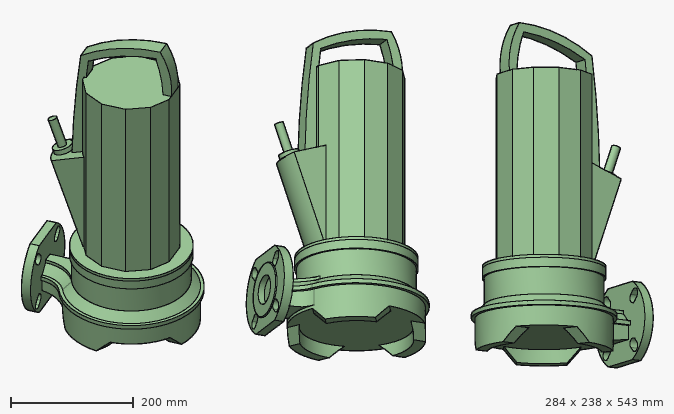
import cadquery as cq
import math


foot_bottom = 2.0
casing_bottom = 25.5
rim_bottom = 58.5
rim_top = 65.5
shoulder_top = 80.5
outlet_roof = 86.0
collar_bottom = 125.5
cover_bottom = 140.5
cover_top = 145.5
motor_top = 461.5

casing_radius = 226.0 / 2
rim_radius = 238.0 / 2
foot_inner_radius = 93.5
foot_count = 3
foot_half_width_bottom = 41.0
foot_half_width_top = 63.0

stage_radius = 196.0 / 2
collar_radius = 202.0 / 2

outlet_half_width = 24.5
outlet_floor_at_flange = 35.5
outlet_floor_at_casing = 31.0

flange_face_x = -163.5
flange_thickness = 16.5
flange_back_x = flange_face_x + flange_thickness
flange_diameter = 150.0
flange_height = 130.5
flange_center_z = flange_height / 2
raised_face_height = 1.5
raised_face_radius = 92.5 / 2
raised_face_taper = 45.0
bore_diameter = 48.5
bore_depth = 11.0
slot_count = 4
slot_width = 17.5
slot_inner_radius = 54.0
slot_outer_radius = 62.5

motor_sides = 12
motor_flat_radius = 77.5
motor_trim_x = 76.0

entry_tilt = 20.0
entry_width = 68.5
entry_top_inner_x = -70.0
entry_top_inner_z = 320.0
entry_flat_length = 61.0
entry_front_bulge = 10.5
gland_diameter = 35.0
gland_height = 8.5
gland_distance = 51.5
cable_diameter = 15.0
cable_reach = 60.0

handle_width = 28.0
handle_top_z = 543.0
handle_leg_bottom_z = 304.0
handle_leg_inner_x = -74.0
handle_outer_foot = (-99.0, handle_leg_bottom_z)
handle_outer_shoulder = (-83.5, 502.5)
handle_outer_peak = (56.5, handle_top_z)
handle_outer_end = (motor_trim_x, motor_top)
handle_inner_end = (61.5, motor_top)
handle_inner_peak = (48.5, 528.5)
handle_inner_shoulder = (-70.0, 494.5)
handle_leg_bulge = (-94.0, 407.0)
handle_outer_grip_bulge = (-16.5, 532.5)
handle_outer_end_bulge = (71.0, 510.5)
handle_inner_end_bulge = (57.5, 495.0)
handle_inner_grip_bulge = (-12.5, 518.0)


def cylinder(radius, bottom, top):
    return cq.Workplane("XY").workplane(offset=bottom).circle(radius).extrude(top - bottom)


roof_offset = stage_radius - casing_radius
rim_offset = rim_radius - casing_radius


def outlet_section(offset, z):
    """Nozzle outline at height z, grown sideways by offset.

    On the -Y side one arc leaves the flange square to it and runs tangent into the round casing.
    All offsets share the arc's center.
    """
    half_width = outlet_half_width + offset
    blend_x = flange_back_x
    base_radius = (blend_x**2 + outlet_half_width**2 - casing_radius**2) / (
        2 * (casing_radius - outlet_half_width)
    )
    blend_y = -(outlet_half_width + base_radius)
    blend_radius = base_radius - offset
    casing_angle = math.atan2(-blend_y, -blend_x)
    middle_angle = (casing_angle + math.pi / 2) / 2
    tangent_point = (
        blend_x + blend_radius * math.cos(casing_angle),
        blend_y + blend_radius * math.sin(casing_angle),
    )
    middle_point = (
        blend_x + blend_radius * math.cos(middle_angle),
        blend_y + blend_radius * math.sin(middle_angle),
    )
    return (
        cq.Workplane("XY", origin=(0, 0, z))
        .moveTo(flange_back_x, half_width)
        .lineTo(0, half_width)
        .lineTo(*tangent_point)
        .threePointArc(middle_point, (flange_back_x, -half_width))
        .close()
    )


def make_outlet_nozzle():
    lower = outlet_section(0, outlet_floor_at_casing).extrude(rim_top - outlet_floor_at_casing)
    sloped_floor = (
        cq.Workplane("XZ")
        .polyline([
            (flange_back_x, outlet_floor_at_casing),
            (flange_back_x, outlet_floor_at_flange),
            (-casing_radius, outlet_floor_at_casing),
        ])
        .close()
        .extrude(casing_radius, both=True)
    )
    rim = outlet_section(rim_offset, rim_bottom).extrude(rim_top - rim_bottom)
    shoulder = cq.Workplane(
        cq.Solid.makeLoft(
            [
                outlet_section(0, rim_top).wires().val(),
                outlet_section(roof_offset, shoulder_top).wires().val(),
            ],
            ruled=True,
        )
    )
    roof = outlet_section(roof_offset, shoulder_top).extrude(outlet_roof - shoulder_top)
    roof = roof.cut(cylinder(stage_radius, shoulder_top, outlet_roof))
    return lower.cut(sloped_floor).union(rim).union(shoulder).union(roof)


def make_outlet_flange():
    plane = cq.Plane(origin=(flange_back_x, 0, flange_center_z), xDir=(0, -1, 0), normal=(-1, 0, 0))
    disc = cq.Workplane(plane).circle(flange_diameter / 2).extrude(flange_thickness)
    trim = cq.Workplane(plane).rect(flange_diameter, flange_height).extrude(flange_thickness)
    flange = disc.intersect(trim)
    slot_length = slot_outer_radius - slot_inner_radius + slot_width
    slot_center = (slot_inner_radius + slot_outer_radius) / 2
    for index in range(slot_count):
        slot = (
            cq.Workplane(plane)
            .center(slot_center, 0)
            .slot2D(slot_length, slot_width)
            .extrude(flange_thickness)
        )
        angle = (index + 0.5) * 360 / slot_count
        axis_start = (0, 0, flange_center_z)
        axis_end = (1, 0, flange_center_z)
        flange = flange.cut(slot.rotate(axis_start, axis_end, angle))
    raised_face = (
        cq.Workplane(plane)
        .workplane(offset=flange_thickness)
        .circle(raised_face_radius)
        .extrude(raised_face_height, taper=raised_face_taper)
    )
    return flange.union(raised_face)


def make_foot_clearance():
    """Space under the casing floor that leaves only the feet standing."""
    clearance = cylinder(rim_radius, foot_bottom, casing_bottom)
    foot_ring = clearance.cut(cylinder(foot_inner_radius, foot_bottom, casing_bottom))
    wedge = (
        cq.Workplane("YZ")
        .polyline([
            (-foot_half_width_bottom, foot_bottom),
            (foot_half_width_bottom, foot_bottom),
            (foot_half_width_top, casing_bottom),
            (-foot_half_width_top, casing_bottom),
        ])
        .close()
        .extrude(rim_radius)
    )
    for index in range(foot_count):
        turned_wedge = wedge.rotate((0, 0, 0), (0, 0, 1), index * 360 / foot_count)
        clearance = clearance.cut(foot_ring.intersect(turned_wedge))
    return clearance


def make_volute():
    casing = (
        cq.Workplane("XZ")
        .polyline([
            (0, foot_bottom),
            (casing_radius, foot_bottom),
            (casing_radius, rim_bottom),
            (rim_radius, rim_bottom),
            (rim_radius, rim_top),
            (casing_radius, rim_top),
            (stage_radius, shoulder_top),
            (0, shoulder_top),
        ])
        .close()
        .revolve(360, (0, 0, 0), (0, 1, 0))
    )
    bore = (
        cq.Workplane("YZ", origin=(flange_face_x - raised_face_height, 0, flange_center_z))
        .circle(bore_diameter / 2)
        .extrude(bore_depth)
    )
    casing = casing.cut(make_foot_clearance())
    return casing.union(make_outlet_nozzle()).union(make_outlet_flange()).cut(bore)


def make_stage_housing():
    body = cylinder(stage_radius, shoulder_top, cover_bottom)
    return body.union(cylinder(collar_radius, collar_bottom, cover_bottom))


def make_cover_ring():
    return cylinder(collar_radius, cover_bottom, cover_top)


def make_motor():
    corner_diameter = 2 * motor_flat_radius / math.cos(math.pi / motor_sides)
    height = motor_top - cover_top
    prism = (
        cq.Workplane("XY", origin=(0, 0, cover_top))
        .polygon(motor_sides, corner_diameter)
        .extrude(height)
        .rotate((0, 0, 0), (0, 0, 1), 180 / motor_sides)
    )
    trim = (
        cq.Workplane("XY", origin=(motor_trim_x - corner_diameter / 2, 0, cover_top))
        .rect(corner_diameter, corner_diameter)
        .extrude(height)
    )
    return prism.intersect(trim)


tilt = math.radians(entry_tilt)
entry_plane = cq.Plane(
    origin=(entry_top_inner_x, 0, entry_top_inner_z),
    xDir=(-math.cos(tilt), 0, -math.sin(tilt)),
    normal=(-math.sin(tilt), 0, math.cos(tilt)),
)


def make_entry_block(motor):
    half_width = entry_width / 2
    block_length = motor_top - cover_top
    inner_end = -motor_flat_radius
    block = (
        cq.Workplane(entry_plane)
        .moveTo(inner_end, -half_width)
        .lineTo(entry_flat_length, -half_width)
        .threePointArc((entry_flat_length + entry_front_bulge, 0), (entry_flat_length, half_width))
        .lineTo(inner_end, half_width)
        .close()
        .extrude(-block_length)
    )
    outlet_side = (
        cq.Workplane("XY", origin=(-block_length / 2, 0, cover_top))
        .rect(block_length, entry_width)
        .extrude(block_length)
    )
    return block.intersect(outlet_side).cut(motor)


def make_gland():
    return (
        cq.Workplane(entry_plane)
        .center(gland_distance, 0)
        .circle(gland_diameter / 2)
        .extrude(gland_height)
    )


def make_cable():
    return (
        cq.Workplane(entry_plane)
        .workplane(offset=gland_height)
        .center(gland_distance, 0)
        .circle(cable_diameter / 2)
        .extrude(cable_reach - gland_height)
    )


def make_handle(motor, entry_block):
    handle = (
        cq.Workplane("XZ")
        .moveTo(*handle_outer_foot)
        .threePointArc(handle_leg_bulge, handle_outer_shoulder)
        .threePointArc(handle_outer_grip_bulge, handle_outer_peak)
        .threePointArc(handle_outer_end_bulge, handle_outer_end)
        .lineTo(*handle_inner_end)
        .threePointArc(handle_inner_end_bulge, handle_inner_peak)
        .threePointArc(handle_inner_grip_bulge, handle_inner_shoulder)
        .lineTo(handle_leg_inner_x, motor_top)
        .lineTo(handle_leg_inner_x, handle_leg_bottom_z)
        .close()
        .extrude(handle_width / 2, both=True)
    )
    return handle.cut(motor).cut(entry_block)


volute = make_volute()
stage_housing = make_stage_housing()
cover_ring = make_cover_ring()
motor = make_motor()
entry_block = make_entry_block(motor)
gland = make_gland()
cable = make_cable()
handle = make_handle(motor, entry_block)

result = cq.Compound.makeCompound([
    volute.val(),
    stage_housing.val(),
    cover_ring.val(),
    motor.val(),
    entry_block.val(),
    gland.val(),
    cable.val(),
    handle.val(),
])